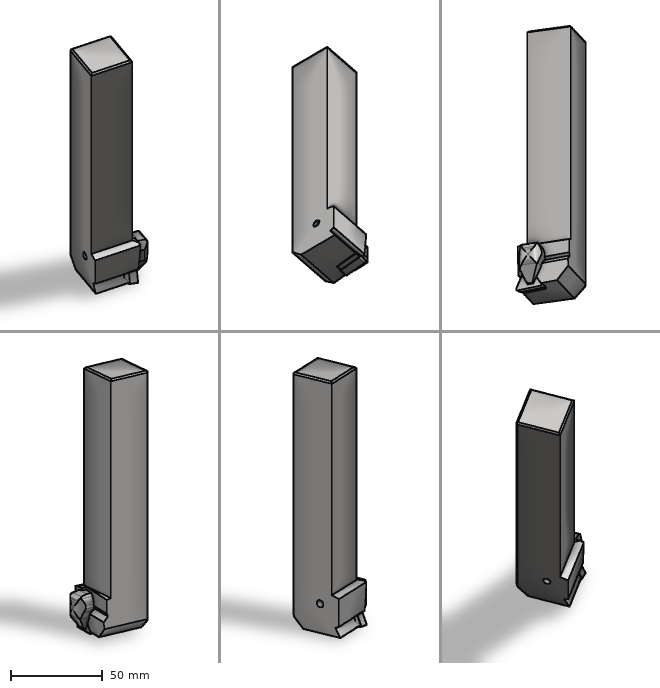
import math

import cadquery as cq


SHANK = 25.4
TOTAL_LENGTH = 152.4
EDGE_CHAMFER = 1.0

HEAD_WIDTH = 30.0
HEAD_DEPTH = 31.0
BOTTOM_Z = 1.7
BOTTOM_CHAMFER = 7.0
HEAD_START_Z = 25.9
HEAD_FLARE = math.tan(math.radians(15))
NOTCH_TOP_Z = 8.2
NOTCH_X = 28.4
NOTCH_Z = 7.2
RELIEF_X = 27.7
RELIEF_Z = 7.0
TOE_X = 30.8

TIP_X = 32.3
TIP_Y = 25.4
TIP_Z = 0.0
RAKE_ANGLE = 6.0
LEAD = math.tan(math.radians(1))
INSERT_EDGE = 16.5
INSERT_THICKNESS = 4.76
NOSE_RADIUS = 0.8
SHIM_THICKNESS = 3.0
SHIM_INSET = 0.3
RAKE_TRIM_REACH = 30.0
CLEARANCE_ABOVE = 20.0

CLAMP_LEFT = 14.7
CLAMP_WIDTH = 12.9
TAIL_LEFT = 17.3
TAIL_RIGHT = 25.0
TAIL_Z = 24.0
CLAMP_WIDEST_Z = 18.6
RIGHT_TAPER_Z = 11.0
FLANK_TOP = (16.1, 22.5)
FLANK_BOTTOM = (15.2, 14.6)
FLANK_TAPER = (16.2, 11.0)
NOSE_LEFT = 21.3
NOSE_RIGHT = 24.5
NOSE_Z = 2.2

CLAMP_BASE_Y = 24.0
CLAMP_TOP_Y = 36.01
ARCH_SPRING_Y = 31.8
TAIL_BACK_Y = 29.0
TAIL_SHOULDER_Y = 33.0
TAIL_SHOULDER_Z = 23.4
TAIL_ROUND_MID = (34.4, 22.3)
TAIL_ROUND_END = (35.0, 20.6)
DOME_START = (35.4, 19.5)
DOME_PEAK_Z = 16.2
DOME_END = (34.6, 10.9)
NOSE_TOP_Y = 28.3

SEAT_FLOOR_Y = 27.8
SEAT_ROOT_Y = 27.1
SEAT_FLOOR_END_Z = 17.3
SEAT_ROOT_Z = 15.6
SEAT_RISE_Z = 12.7
RAMP_START = (20.5, 26.0)
RAMP_END = (23.2, 27.9)

HOLE_X = 17.8
HOLE_Z = 19.1
HOLE_DIAMETER = 4.2
HOLE_DEPTH = 15.0
DRILL_POINT = HOLE_DIAMETER / 2 * math.tan(math.radians(31))


def rake_plane():
    """Plane of the insert's rake face; local X is along +X, local Y along +Z, normal into the head."""
    lean = math.sin(math.radians(RAKE_ANGLE))
    return cq.Plane(origin=(TIP_X, TIP_Y, TIP_Z), xDir=(1, -lean, -LEAD), normal=(-lean, -1, lean))


def triangle(inset):
    """Triangle outline on the rake plane, corner at the cutting tip, edges moved in by inset."""
    shift = inset * math.sqrt(3)
    rise = math.sin(math.radians(60))
    points = [
        (-shift, inset),
        (shift - INSERT_EDGE, inset),
        (-INSERT_EDGE / 2, INSERT_EDGE * rise - 2 * inset),
    ]
    return cq.Workplane(rake_plane()).polyline(points).close()


def triangular_plate(inset, thickness):
    """Nose-rounded triangular plate whose top lies on the rake plane."""
    blank = triangle(inset).extrude(thickness)
    corners = blank.edges(cq.selectors.ParallelDirSelector(rake_plane().zDir))
    return corners.fillet(NOSE_RADIUS)


def make_shank_and_head():
    """Front and side outlines intersected, chamfered, with the head top trimmed to the rake plane."""
    flare_z = HEAD_START_Z - (HEAD_WIDTH - SHANK) * HEAD_FLARE
    face = (
        cq.Workplane("XZ")
        .moveTo(0, TOTAL_LENGTH)
        .lineTo(SHANK, TOTAL_LENGTH)
        .lineTo(SHANK, HEAD_START_Z)
        .lineTo(HEAD_WIDTH, flare_z)
        .lineTo(HEAD_WIDTH, NOTCH_TOP_Z)
        .lineTo(NOTCH_X, NOTCH_Z)
        .lineTo(RELIEF_X, RELIEF_Z)
        .lineTo(TOE_X, BOTTOM_Z)
        .lineTo(BOTTOM_CHAMFER, BOTTOM_Z)
        .lineTo(0, BOTTOM_Z + BOTTOM_CHAMFER)
        .close()
        .extrude(-HEAD_DEPTH)
    )
    side = (
        cq.Workplane("YZ")
        .moveTo(0, 0)
        .lineTo(HEAD_DEPTH, 0)
        .lineTo(HEAD_DEPTH, HEAD_START_Z - (HEAD_DEPTH - SHANK) * HEAD_FLARE)
        .lineTo(SHANK, HEAD_START_Z)
        .lineTo(SHANK, TOTAL_LENGTH)
        .lineTo(0, TOTAL_LENGTH)
        .close()
        .extrude(TIP_X)
    )
    body = face.intersect(side)
    body = body.faces(">Z").edges().chamfer(EDGE_CHAMFER)
    corner = (
        cq.Workplane("XY")
        .polyline([(0, 0), (EDGE_CHAMFER, 0), (0, EDGE_CHAMFER)])
        .close()
        .extrude(TOTAL_LENGTH)
    )
    above_rake = (
        cq.Workplane(rake_plane())
        .rect(3 * HEAD_WIDTH, 2 * RAKE_TRIM_REACH)
        .extrude(-CLEARANCE_ABOVE)
    )
    return body.cut(corner).cut(above_rake)


def make_seat_cutter():
    """Groove behind the insert seat, its floor falling towards +X by the rake angle."""
    outside = HEAD_DEPTH + 5
    lean = math.sin(math.radians(RAKE_ANGLE))
    start = cq.Plane(origin=(0, 0, 0), xDir=(lean, 1, 0), normal=(1, -lean, 0))
    return (
        cq.Workplane(start)
        .moveTo(SEAT_FLOOR_Y, HEAD_START_Z)
        .lineTo(SEAT_FLOOR_Y, SEAT_FLOOR_END_Z)
        .lineTo(SEAT_ROOT_Y, SEAT_ROOT_Z)
        .lineTo(SEAT_ROOT_Y + SEAT_ROOT_Z - SEAT_RISE_Z, SEAT_RISE_Z)
        .lineTo(outside, SEAT_RISE_Z)
        .lineTo(outside, HEAD_START_Z)
        .close()
        .extrude(RAMP_START[0], both=True)
    )


def make_ramp_cutter():
    """Trims the head on the +X side of the seat to a ramp followed by a level top."""
    far_x = HEAD_WIDTH + 1
    far_y = HEAD_DEPTH + 1
    return (
        cq.Workplane("XY", origin=(0, 0, SEAT_RISE_Z))
        .polyline([RAMP_START, RAMP_END, (far_x, RAMP_END[1]), (far_x, far_y), (RAMP_START[0], far_y)])
        .close()
        .extrude(HEAD_START_Z - SEAT_RISE_Z)
    )


def make_clamp():
    """Domed finger clamp: plan outline, side profile and arched cross-section intersected."""
    right = CLAMP_LEFT + CLAMP_WIDTH
    plan = (
        cq.Workplane("XZ")
        .moveTo(TAIL_LEFT, TAIL_Z)
        .lineTo(TAIL_RIGHT, TAIL_Z)
        .lineTo(right, CLAMP_WIDEST_Z)
        .lineTo(right, RIGHT_TAPER_Z)
        .lineTo(NOSE_RIGHT, NOSE_Z)
        .lineTo(NOSE_LEFT, NOSE_Z)
        .lineTo(*FLANK_TAPER)
        .lineTo(*FLANK_BOTTOM)
        .threePointArc((CLAMP_LEFT, CLAMP_WIDEST_Z), FLANK_TOP)
        .lineTo(TAIL_LEFT, TAIL_Z)
        .close()
        .extrude(-CLAMP_TOP_Y)
    )
    profile = (
        cq.Workplane("YZ")
        .moveTo(CLAMP_BASE_Y, TAIL_Z)
        .lineTo(TAIL_BACK_Y, TAIL_Z)
        .lineTo(TAIL_SHOULDER_Y, TAIL_SHOULDER_Z)
        .threePointArc(TAIL_ROUND_MID, TAIL_ROUND_END)
        .lineTo(*DOME_START)
        .threePointArc((CLAMP_TOP_Y, DOME_PEAK_Z), DOME_END)
        .lineTo(NOSE_TOP_Y, NOSE_Z)
        .lineTo(CLAMP_BASE_Y, NOSE_Z)
        .close()
        .extrude(right)
    )
    arch = (
        cq.Workplane("XY")
        .moveTo(CLAMP_LEFT, CLAMP_BASE_Y)
        .lineTo(CLAMP_LEFT, ARCH_SPRING_Y)
        .threePointArc((CLAMP_LEFT + CLAMP_WIDTH / 2, CLAMP_TOP_Y), (right, ARCH_SPRING_Y))
        .lineTo(right, CLAMP_BASE_Y)
        .close()
        .extrude(TAIL_Z)
    )
    return plan.intersect(profile).intersect(arch)


def make_hole():
    """Blind drilled hole entering the base along +Y."""
    radius = HOLE_DIAMETER / 2
    return (
        cq.Workplane("XY")
        .polyline([(0, 0), (radius, 0), (radius, HOLE_DEPTH), (0, HOLE_DEPTH + DRILL_POINT)])
        .close()
        .revolve(360, (0, 0), (0, 1))
        .translate((HOLE_X, 0, HOLE_Z))
    )


insert = triangular_plate(0, INSERT_THICKNESS)
shim = triangular_plate(SHIM_INSET, INSERT_THICKNESS + SHIM_THICKNESS)

holder = make_shank_and_head().cut(make_seat_cutter()).cut(make_ramp_cutter())
holder = holder.union(shim).union(make_clamp()).cut(insert).cut(make_hole())

result = cq.Compound.makeCompound([holder.val(), insert.val()])